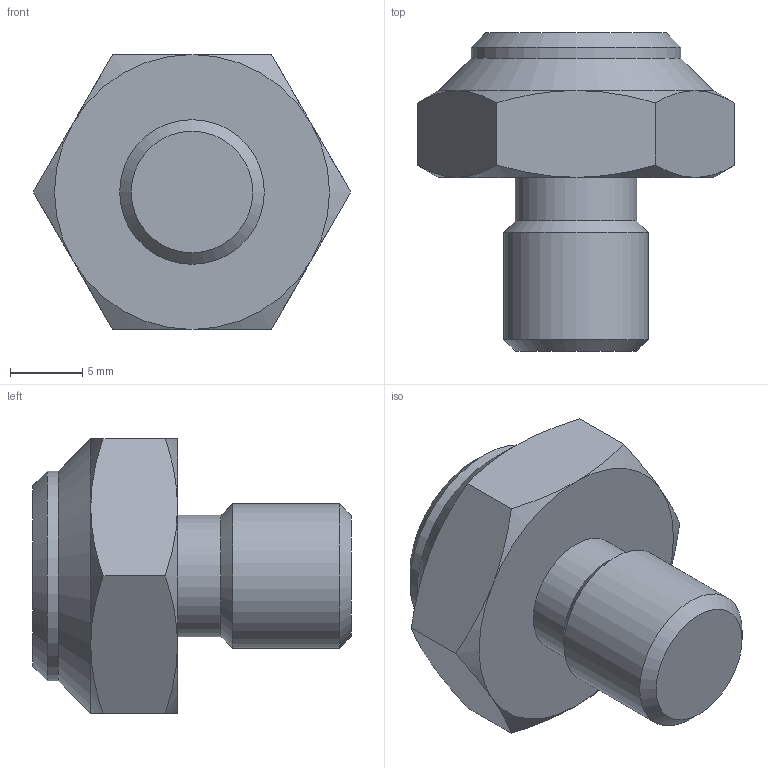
import cadquery as cq
import math


across_flats = 19.0
hex_thickness = 6.0
hex_chamfer_angle = 30.0

collar_diameter = 14.5
collar_length = 0.75
collar_chamfer = 1.0

stud_diameter = 10.0
stud_length = 12.0
stud_chamfer = 0.8
neck_length = 3.0

flat_radius = across_flats / 2
corner_radius = flat_radius / math.cos(math.radians(30))
corner_drop = (corner_radius - flat_radius) * math.tan(math.radians(hex_chamfer_angle))
collar_radius = collar_diameter / 2
stud_radius = stud_diameter / 2
neck_radius = stud_radius - stud_chamfer


def revolve_about_y(profile):
    """Solid of revolution about Y from a closed list of (radius, y) points."""
    return (
        cq.Workplane("XY")
        .polyline(profile)
        .close()
        .revolve(360, (0, 0, 0), (0, 1, 0))
    )


def make_hexagon():
    """Hexagon with corners on +X and -X, chamfered conically at both ends."""
    prism = (
        cq.Workplane("XZ")
        .polygon(6, 2 * corner_radius)
        .extrude(-hex_thickness)
    )
    chamfer_envelope = revolve_about_y([
        (0, 0),
        (flat_radius, 0),
        (corner_radius, corner_drop),
        (corner_radius, hex_thickness - corner_drop),
        (flat_radius, hex_thickness),
        (0, hex_thickness),
    ])
    return prism.intersect(chamfer_envelope)


def make_collar():
    """45-degree cone from the hexagon to a short collar with a chamfered end."""
    cone_end = hex_thickness + flat_radius - collar_radius
    chamfer_start = cone_end + collar_length
    collar_end = chamfer_start + collar_chamfer
    return revolve_about_y([
        (0, hex_thickness),
        (flat_radius, hex_thickness),
        (collar_radius, cone_end),
        (collar_radius, chamfer_start),
        (collar_radius - collar_chamfer, collar_end),
        (0, collar_end),
    ])


def make_stud():
    """Stud with a relief neck at the hexagon and a 45-degree chamfer at each end."""
    return revolve_about_y([
        (0, 0),
        (neck_radius, 0),
        (neck_radius, -neck_length),
        (stud_radius, -neck_length - stud_chamfer),
        (stud_radius, -stud_length + stud_chamfer),
        (stud_radius - stud_chamfer, -stud_length),
        (0, -stud_length),
    ])


result = make_hexagon().union(make_collar()).union(make_stud())